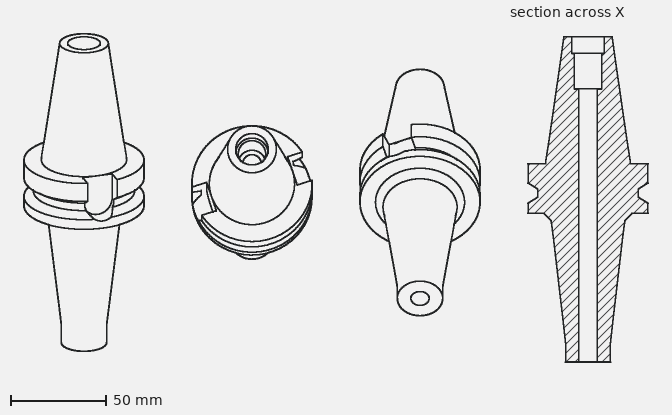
import cadquery as cq

total_length = 170.4

taper_length = 65.5
taper_ratio = 7 / 24
gauge_radius = 22.3
taper_end_radius = gauge_radius - taper_length * taper_ratio / 2
collar_height = 1.0

flange_radius = 31.5
upper_rim_height = 10.2
lower_rim_height = 5.5
groove_radius = 26.5
groove_floor_height = 4.3
groove_flank_height = 3.0

neck_top_radius = 23.3
neck_height = 4.0
nose_root_radius = 19.5
nose_tip_radius = 12.0
tip_height = 10.2

slot_width = 16.2
slot_depth = 22.0
slot_floor_distance = gauge_radius

entry_bore_radius = 8.5
entry_bore_depth = 8.7
middle_bore_radius = 7.2
middle_bore_depth = 27.3
through_bore_radius = 4.8

gauge_z = total_length - taper_length
flange_top_z = gauge_z - collar_height
groove_top_z = flange_top_z - upper_rim_height
groove_floor_top_z = groove_top_z - groove_flank_height
groove_floor_bottom_z = groove_floor_top_z - groove_floor_height
groove_bottom_z = groove_floor_bottom_z - groove_flank_height
flange_bottom_z = groove_bottom_z - lower_rim_height
nose_root_z = flange_bottom_z - neck_height


def turned_body():
    """Revolve the half profile, given as (radius, height), about Z."""
    profile = [
        (0, 0),
        (nose_tip_radius, 0),
        (nose_tip_radius, tip_height),
        (nose_root_radius, nose_root_z),
        (neck_top_radius, flange_bottom_z),
        (flange_radius, flange_bottom_z),
        (flange_radius, groove_bottom_z),
        (groove_radius, groove_floor_bottom_z),
        (groove_radius, groove_floor_top_z),
        (flange_radius, groove_top_z),
        (flange_radius, flange_top_z),
        (gauge_radius, flange_top_z),
        (gauge_radius, gauge_z),
        (taper_end_radius, total_length),
        (0, total_length),
    ]
    return cq.Workplane("XZ").polyline(profile).close().revolve(360, (0, 0), (0, 1))


def drive_slot(side):
    """Round-bottomed slot cutter on the +X (side = 1) or -X (side = -1) flank."""
    half_width = slot_width / 2
    bottom_z = flange_top_z - slot_depth
    arc_center_z = bottom_z + half_width
    return (
        cq.Workplane("YZ", origin=(side * slot_floor_distance, 0, 0))
        .moveTo(-half_width, flange_top_z)
        .lineTo(-half_width, arc_center_z)
        .threePointArc((0, bottom_z), (half_width, arc_center_z))
        .lineTo(half_width, flange_top_z)
        .close()
        .extrude(side * flange_radius)
    )


def bore(radius, depth):
    """Cylindrical cutter sunk from the shank end."""
    return cq.Workplane("XY", origin=(0, 0, total_length - depth)).circle(radius).extrude(depth)


result = turned_body()
for side in (-1, 1):
    result = result.cut(drive_slot(side))

result = result.cut(bore(entry_bore_radius, entry_bore_depth))
result = result.cut(bore(middle_bore_radius, middle_bore_depth))
result = result.cut(bore(through_bore_radius, total_length))